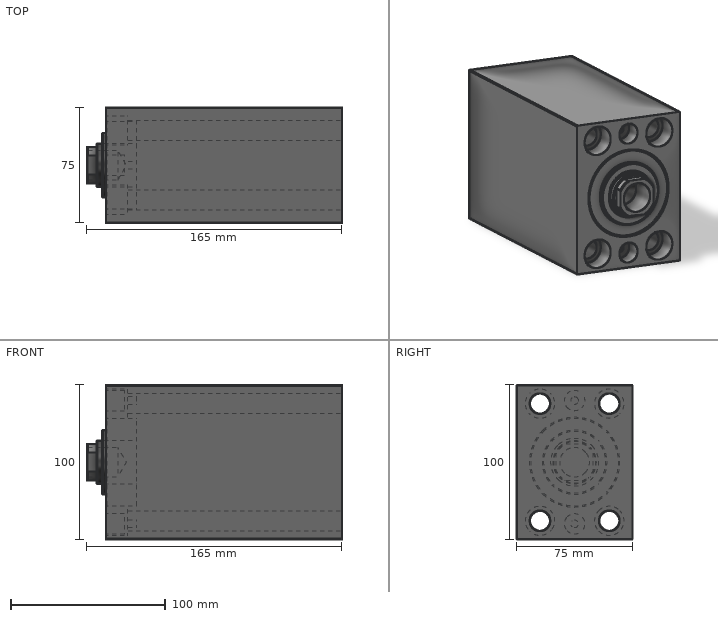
import cadquery as cq
import math

overall_length = 165.0
rod_projection = 12.0

block_length = overall_length - rod_projection
block_width = 75.0
block_height = 100.0
block_edge_chamfer = 0.5

screw_spacing_y = 44.9
screw_spacing_z = 75.9
screw_hole_diameter = 13.0
screw_head_diameter = 19.0
screw_head_depth = 14.0

port_spacing = 79.9
port_diameter = 13.2
port_depth = 12.0
port_drill_diameter = 5.0
port_drill_depth = 19.8

gland_diameter = 56.8
gland_depth = 19.8
mouth_chamfer = 0.8
collar_diameter = 41.7
collar_height = 2.6
collar_chamfer = 0.8
wiper_recess_diameter = 31.0
wiper_recess_depth = 1.0

rod_diameter = 28.0
rod_chamfer = 0.5
nose_length = 6.1
nose_diameter = 26.9
nose_across_flats = 24.0
nose_chamfer = 0.3
rod_bore_diameter = 19.1
rod_bore_depth = 19.8
drill_point_angle = 120.0

block_front = rod_projection
gland_front = block_front - collar_height
gland_back = block_front + gland_depth


def cylinder(diameter, start, length):
    """Cylinder along +X, on the rod axis."""
    return cq.Workplane("YZ", origin=(start, 0, 0)).circle(diameter / 2).extrude(length)


def drilled(body, points, diameter, start, depth):
    """Cut equal round holes along +X at the given (Y, Z) points."""
    holes = cq.Workplane("YZ", origin=(start, 0, 0)).pushPoints(points).circle(diameter / 2)
    return body.cut(holes.extrude(depth))


def make_block():
    block = (
        cq.Workplane("YZ", origin=(block_front, 0, 0))
        .rect(block_width, block_height)
        .extrude(block_length)
        .edges("|X")
        .chamfer(block_edge_chamfer)
    )

    block = block.cut(cylinder(gland_diameter, block_front, gland_depth))
    block = block.faces("<X").edges("%CIRCLE").chamfer(mouth_chamfer)

    screw_points = [
        (side_y * screw_spacing_y / 2, side_z * screw_spacing_z / 2)
        for side_y in (-1, 1)
        for side_z in (-1, 1)
    ]
    block = drilled(block, screw_points, screw_hole_diameter, block_front, block_length)
    block = drilled(block, screw_points, screw_head_diameter, block_front, screw_head_depth)

    port_points = [(0, side * port_spacing / 2) for side in (-1, 1)]
    block = drilled(block, port_points, port_drill_diameter, block_front, port_drill_depth)
    return drilled(block, port_points, port_diameter, block_front, port_depth)


def make_gland():
    collar = cylinder(collar_diameter, gland_front, collar_height)
    collar = collar.faces("<X").chamfer(collar_chamfer)
    gland = collar.union(cylinder(gland_diameter, block_front, gland_depth))

    gland = gland.cut(cylinder(rod_diameter, gland_front, gland_back - gland_front))
    return gland.cut(cylinder(wiper_recess_diameter, gland_front, wiper_recess_depth))


def make_rod():
    shank = cylinder(rod_diameter, nose_length, gland_back - nose_length)
    shank = shank.faces("<X").chamfer(rod_chamfer)

    nose = cylinder(nose_diameter, 0, nose_length).faces("<X").chamfer(nose_chamfer)
    flats = cq.Workplane("YZ").rect(nose_across_flats, nose_across_flats).extrude(nose_length)
    rod = shank.union(nose.intersect(flats))

    bore_radius = rod_bore_diameter / 2
    point_length = bore_radius / math.tan(math.radians(drill_point_angle / 2))
    bore = (
        cq.Workplane("XY")
        .lineTo(0, bore_radius)
        .lineTo(rod_bore_depth, bore_radius)
        .lineTo(rod_bore_depth + point_length, 0)
        .close()
        .revolve(360, (0, 0, 0), (1, 0, 0))
    )
    return rod.cut(bore)


block = make_block()
gland = make_gland()
rod = make_rod()

result = cq.Compound.makeCompound([block.val(), gland.val(), rod.val()])